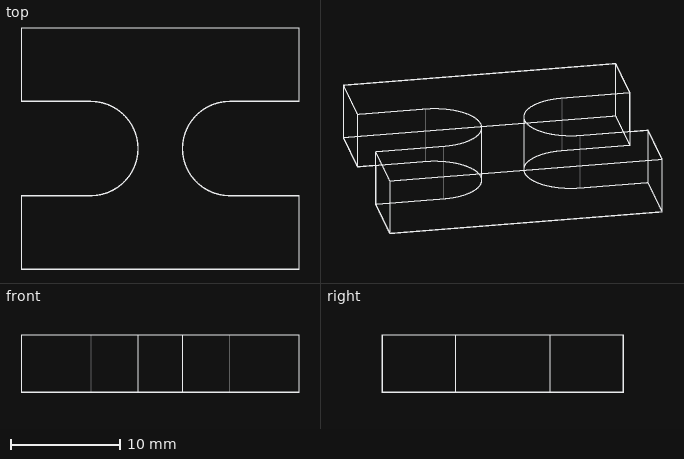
import cadquery as cq

length = 25.4
width = 22.1
thickness = 5.25

slot_width = 8.6
web_thickness = 4.1

slot_radius = slot_width / 2
arc_center_x = web_thickness / 2 + slot_radius


def end_slot(side):
    """Through slot open at the +X (side = 1) or -X (side = -1) end."""
    center_x = side * arc_center_x
    straight_length = length / 2 - arc_center_x
    round_end = cq.Workplane("XY").center(center_x, 0).circle(slot_radius).extrude(thickness)
    straight = (
        cq.Workplane("XY")
        .center(center_x + side * straight_length / 2, 0)
        .rect(straight_length, slot_width)
        .extrude(thickness)
    )
    return round_end.union(straight)


result = cq.Workplane("XY").box(length, width, thickness, centered=(True, True, False))
for side in (-1, 1):
    result = result.cut(end_slot(side))